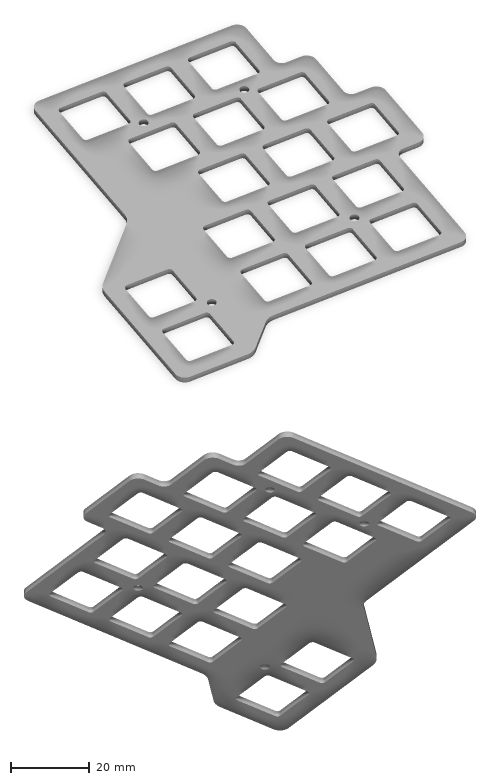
import cadquery as cq

length = 109.9
thickness = 1.6

column_rises = [1.0, 1.5, 2.0, 1.5, 1.5]
keys_per_column = 3
thumb_columns = [3.5, 4.5]
tall_column = 2

block = 24.2
pitch = (length - block) / thumb_columns[-1]
opening = 14.0
opening_radius = 1.0

corner_radius = 2.7
step_radius = 2.3
bend_radius = 4.4
bevel_inset = 2.6

hole_diameter = 2.5
hole_shift = 1.0


def grid_point(column, row):
    """Point given in pitches from the centre of the first column and of the thumb row."""
    return (block / 2 + column * pitch, block / 2 + row * pitch)


def top_edge(column):
    """Y of the plate edge above the highest key of a main column."""
    return block + (column_rises[column] + keys_per_column - 1) * pitch


def make_blank():
    """Plate without openings, with every upright edge of its outline rounded."""
    main_bottom = column_rises[0] * pitch
    main_right = block + (len(column_rises) - 1) * pitch
    tall_left = tall_column * pitch
    tall_right = tall_left + block
    bevel_foot = thumb_columns[0] * pitch + bevel_inset
    bevel_top = block - bevel_inset

    outline = [
        (0, main_bottom, corner_radius),
        (bevel_foot - main_bottom, main_bottom, bend_radius),
        (bevel_foot, 0, bend_radius),
        (length, 0, corner_radius),
        (length, bevel_top, bend_radius),
        (main_right, bevel_top + length - main_right, bend_radius),
        (main_right, top_edge(4), corner_radius),
        (tall_right, top_edge(3), step_radius),
        (tall_right, top_edge(2), corner_radius),
        (tall_left, top_edge(2), corner_radius),
        (tall_left, top_edge(1), step_radius),
        (pitch, top_edge(1), corner_radius),
        (pitch, top_edge(0), step_radius),
        (0, top_edge(0), corner_radius),
    ]
    points = [(x, y) for x, y, radius in outline]
    blank = cq.Workplane("XY").polyline(points).close().extrude(thickness)
    for x, y, radius in outline:
        edge_middle = (x, y, thickness / 2)
        blank = blank.edges(cq.selectors.NearestToPointSelector(edge_middle)).fillet(radius)
    return blank


def make_key_openings():
    centres = [grid_point(column, 0) for column in thumb_columns]
    for column, rise in enumerate(column_rises):
        for row in range(keys_per_column):
            centres.append(grid_point(column, rise + row))
    openings = cq.Workplane("XY").pushPoints(centres).rect(opening, opening).extrude(thickness)
    return openings.edges("|Z").fillet(opening_radius)


def make_screw_holes():
    """Holes in the gaps between keys; the two left-hand ones are shifted sideways."""
    upper_left_x, upper_left_y = grid_point(0.5, 3)
    lower_left_x, lower_left_y = grid_point(0.5, 1.5)
    centres = [
        (upper_left_x + hole_shift, upper_left_y),
        (lower_left_x - hole_shift, lower_left_y),
        grid_point(3.5, 3),
        grid_point(4, 0.5),
    ]
    return cq.Workplane("XY").pushPoints(centres).circle(hole_diameter / 2).extrude(thickness)


result = make_blank().cut(make_key_openings()).cut(make_screw_holes())